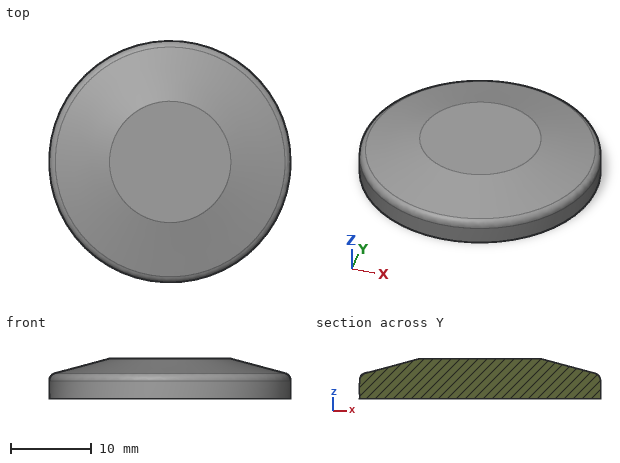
import cadquery as cq
import math

outer_radius = 15.0
total_height = 5.0
corner_height = 3.0
cone_angle = 15.0
rim_fillet = 1.0

cone_height = total_height - corner_height
top_radius = outer_radius - cone_height / math.tan(math.radians(cone_angle))


def make_cap():
    """Disc with a cylindrical side, a conical shoulder and a flat top, resting on Z = 0."""
    half_profile = (
        cq.Workplane("XZ")
        .lineTo(outer_radius, 0)
        .lineTo(outer_radius, corner_height)
        .lineTo(top_radius, total_height)
        .lineTo(0, total_height)
        .close()
    )
    return half_profile.revolve(360, (0, 0), (0, 1))


def round_rim(cap):
    """Round the edge between the cylindrical side and the cone."""
    return cap.faces("%CONE").edges("<Z").fillet(rim_fillet)


result = round_rim(make_cap())